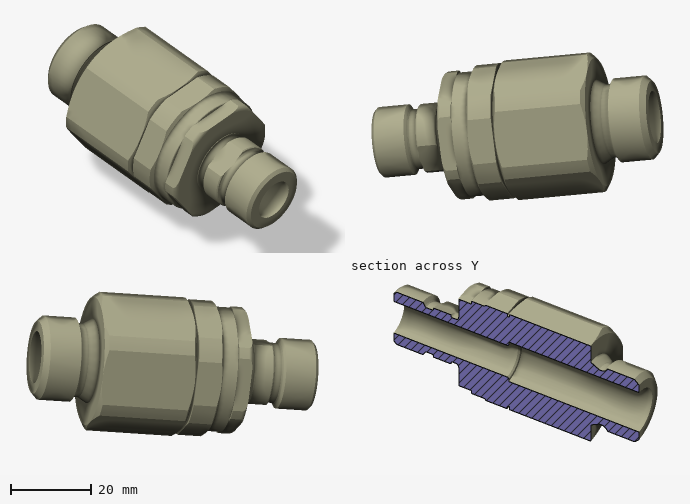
import cadquery as cq
import math


LENGTH = 70.7

THREAD_A_RADIUS = 10.5
THREAD_A_END = 9.3
THREAD_A_CHAMFER = 1.4
UNDERCUT_RADIUS = 9.2
UNDERCUT_LIP_RADIUS = 10.2
UNDERCUT_LIP_CHAMFER = 0.2
UNDERCUT_FILLET = 1.55
UNDERCUT_FLOOR_END = 11.5
UNDERCUT_CONE_ANGLE = 30.0

BODY_START = 13.9
BODY_END = 37.55
BODY_ACROSS_FLATS = 32.0
BODY_CORNER_DIAMETER = 35.0
HEX_CHAMFER_ANGLE = 30.0
HEX_SIDES = 6

GROOVE_RADIUS = 15.1
GROOVE_WIDTH = 0.4

NUT_START = BODY_END + GROOVE_WIDTH
NUT_END = 44.4
NUT_CORNER_RADIUS = 17.0

COLLAR_RADIUS = 15.55
COLLAR_END = 48.4
COLLAR_FILLET = 0.4
COLLAR_CHAMFER = 0.15

THIN_HEX_END = 52.1
THIN_HEX_ACROSS_FLATS = 29.1
THIN_HEX_CORNER_RADIUS = 16.05
THIN_HEX_FILLET = 1.1

STEM_RADIUS = 7.5
SHOULDER_RADIUS = 8.4
SHOULDER_WIDTH = 0.15
LAND_START = 54.2
LAND_END = 59.3
LAND_RADIUS = 8.6
LAND_CHAMFER_LENGTH = 0.3
STEM_FILLET = 0.4
FLAT_DISTANCE = STEM_RADIUS
FLAT_TILT = 25.4

THREAD_B_RADIUS = 8.85
THREAD_B_START = 62.3
THREAD_B_CHAMFER = 0.8
RUNOUT_ANGLE = 30.0
RUNOUT_STEP = 0.3

BORE_RADIUS = 5.2
BORE_CHAMFER = 0.4
COUNTERBORE_DIAMETER = 13.1
COUNTERBORE_DEPTH = BODY_END


def turned(profile):
    """Revolve a closed (x, radius) outline about the X axis."""
    return profile.close().revolve(360, (0, 0, 0), (1, 0, 0))


def disc(start, end, radius):
    return cq.Workplane("YZ", origin=(start, 0, 0)).circle(radius).extrude(end - start)


def hexagon(start, end, across_flats):
    corner_diameter = across_flats / math.cos(math.pi / HEX_SIDES)
    return cq.Workplane("YZ", origin=(start, 0, 0)).polygon(HEX_SIDES, corner_diameter).extrude(end - start)


def chamfered_hexagon(start, end, across_flats, corner_radius, chamfer_start=True):
    """Hexagon with round corners and turned chamfers that just reach its flats."""
    face_radius = across_flats / 2
    depth = corner_radius - face_radius
    chamfer = depth * math.tan(math.radians(HEX_CHAMFER_ANGLE))
    blank = disc(start, end, corner_radius)
    blank = blank.faces(">X").chamfer(chamfer, depth)
    if chamfer_start:
        blank = blank.faces("<X").chamfer(chamfer, depth)
    return hexagon(start, end, across_flats).intersect(blank)


def large_thread():
    arc_start = THREAD_A_END + UNDERCUT_LIP_CHAMFER
    arc_start_radius = UNDERCUT_LIP_RADIUS - UNDERCUT_LIP_CHAMFER
    arc_angle = math.acos(1 - (arc_start_radius - UNDERCUT_RADIUS) / UNDERCUT_FILLET)
    floor_start = arc_start + UNDERCUT_FILLET * math.sin(arc_angle)
    cone_rise = (BODY_START - UNDERCUT_FLOOR_END) * math.tan(math.radians(UNDERCUT_CONE_ANGLE))
    return turned(
        cq.Workplane("XY")
        .moveTo(0, 0)
        .lineTo(0, THREAD_A_RADIUS - THREAD_A_CHAMFER)
        .lineTo(THREAD_A_CHAMFER, THREAD_A_RADIUS)
        .lineTo(THREAD_A_END, THREAD_A_RADIUS)
        .lineTo(THREAD_A_END, UNDERCUT_LIP_RADIUS)
        .lineTo(arc_start, arc_start_radius)
        .radiusArc((floor_start, UNDERCUT_RADIUS), -UNDERCUT_FILLET)
        .lineTo(UNDERCUT_FLOOR_END, UNDERCUT_RADIUS)
        .lineTo(BODY_START, UNDERCUT_RADIUS + cone_rise)
        .lineTo(BODY_START, 0)
    )


def collar():
    return turned(
        cq.Workplane("XY")
        .moveTo(NUT_END, 0)
        .lineTo(NUT_END, COLLAR_RADIUS + COLLAR_FILLET)
        .radiusArc((NUT_END + COLLAR_FILLET, COLLAR_RADIUS), -COLLAR_FILLET)
        .lineTo(COLLAR_END - COLLAR_CHAMFER, COLLAR_RADIUS)
        .lineTo(COLLAR_END, COLLAR_RADIUS - COLLAR_CHAMFER)
        .lineTo(COLLAR_END, 0)
    )


def thin_hexagon():
    blank = disc(COLLAR_END, THIN_HEX_END, THIN_HEX_CORNER_RADIUS)
    blank = blank.faces(">X").edges().fillet(THIN_HEX_FILLET)
    return hexagon(COLLAR_END, THIN_HEX_END, THIN_HEX_ACROSS_FLATS).intersect(blank)


def stem():
    shoulder_end = THIN_HEX_END + SHOULDER_WIDTH
    fillet_top = STEM_RADIUS + STEM_FILLET
    runout_start_radius = STEM_RADIUS + RUNOUT_STEP
    runout_rise = THREAD_B_RADIUS - runout_start_radius
    runout_start = THREAD_B_START - runout_rise * math.tan(math.radians(RUNOUT_ANGLE))
    return turned(
        cq.Workplane("XY")
        .moveTo(THIN_HEX_END, 0)
        .lineTo(THIN_HEX_END, SHOULDER_RADIUS)
        .lineTo(shoulder_end, SHOULDER_RADIUS)
        .lineTo(shoulder_end, fillet_top)
        .radiusArc((shoulder_end + STEM_FILLET, STEM_RADIUS), -STEM_FILLET)
        .lineTo(LAND_START - STEM_FILLET, STEM_RADIUS)
        .radiusArc((LAND_START, fillet_top), -STEM_FILLET)
        .lineTo(LAND_START, SHOULDER_RADIUS)
        .lineTo(LAND_START + LAND_CHAMFER_LENGTH, LAND_RADIUS)
        .lineTo(LAND_END - LAND_CHAMFER_LENGTH, LAND_RADIUS)
        .lineTo(LAND_END, SHOULDER_RADIUS)
        .lineTo(LAND_END, fillet_top)
        .radiusArc((LAND_END + STEM_FILLET, STEM_RADIUS), -STEM_FILLET)
        .lineTo(runout_start - RUNOUT_STEP, STEM_RADIUS)
        .lineTo(runout_start, runout_start_radius)
        .lineTo(THREAD_B_START, THREAD_B_RADIUS)
        .lineTo(LENGTH - THREAD_B_CHAMFER, THREAD_B_RADIUS)
        .lineTo(LENGTH, THREAD_B_RADIUS - THREAD_B_CHAMFER)
        .lineTo(LENGTH, 0)
    )


def wrench_flat(turn):
    """Cutter for one flat, turned about X away from +Z and reaching over the fillets beside the land."""
    cutter = cq.Workplane("XY").box(
        LAND_END - LAND_START + 2 * STEM_FILLET, 2 * LAND_RADIUS, LAND_RADIUS, centered=(False, True, False)
    )
    cutter = cutter.translate((LAND_START - STEM_FILLET, 0, FLAT_DISTANCE))
    return cutter.rotate((0, 0, 0), (1, 0, 0), turn)


def bore():
    return turned(
        cq.Workplane("XY")
        .moveTo(0, 0)
        .lineTo(0, COUNTERBORE_DIAMETER / 2)
        .lineTo(COUNTERBORE_DEPTH, COUNTERBORE_DIAMETER / 2)
        .lineTo(COUNTERBORE_DEPTH, BORE_RADIUS + BORE_CHAMFER)
        .lineTo(COUNTERBORE_DEPTH + BORE_CHAMFER, BORE_RADIUS)
        .lineTo(LENGTH, BORE_RADIUS)
        .lineTo(LENGTH, 0)
    )


result = large_thread()
result = result.union(chamfered_hexagon(BODY_START, BODY_END, BODY_ACROSS_FLATS, BODY_CORNER_DIAMETER / 2))
result = result.union(disc(BODY_END, NUT_START, GROOVE_RADIUS))
result = result.union(
    chamfered_hexagon(NUT_START, NUT_END, BODY_ACROSS_FLATS, NUT_CORNER_RADIUS, chamfer_start=False)
)
result = result.union(collar())
result = result.union(thin_hexagon())
result = result.union(stem())

for turn in (FLAT_TILT, FLAT_TILT + 180):
    result = result.cut(wrench_flat(turn))

result = result.cut(bore())